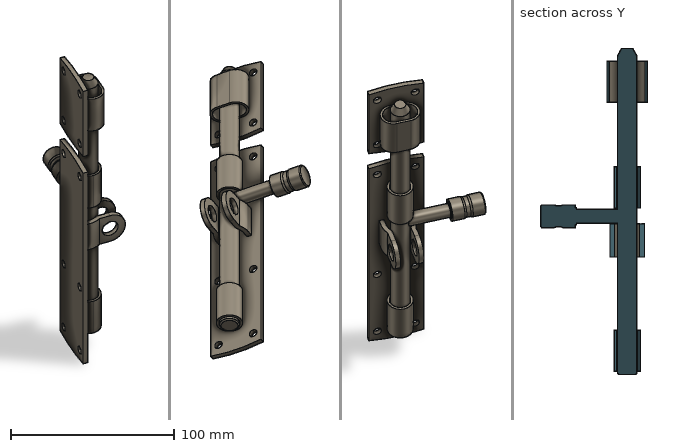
import cadquery as cq
import math


plate_width = 35.1
plate_thickness = 3.0
lower_plate_length = 154.6
plate_gap = 10.0
upper_plate_length = 55.0
end_crown = 1.5
screw_hole_diameter = 5.0
screw_hole_spacing = 24.2
upper_hole_margin = 8.0
lower_hole_margin = 8.3
middle_hole_height = 58.5

bore_diameter = 13.0
tube_diameter = 16.0
tube_length = 25.3
keeper_stretch = 8.8
foot_width = 6.2
foot_length = 8.8
foot_corner_radius = 1.0
lower_guide_bottom = 15.2
upper_guide_bottom = 115.0
keeper_bottom = 179.7

staple_length = 20.5
lug_hole_diameter = 10.5
lug_hole_offset = 10.8
lug_thickness = 3.0
lug_half_width = 9.0
base_half_width = 11.0
bend_radius = 14.3
staple_height = 95.3

bolt_diameter = 12.0
bolt_bottom = 13.2
bolt_top = 212.6
nose_length = 4.6
nose_diameter = 7.0
bolt_chamfer = 0.9

handle_height = 110.0
stem_diameter = 8.8
knob_diameter = 14.0
knob_length = 21.3
collar_length = 0.7
collar_diameter = 10.5
knob_end = 53.0
knob_chamfer = 0.7
groove_offset = 11.0
groove_width = 5.3
groove_floor_width = 2.6
groove_diameter = 13.0

plate_face = -tube_diameter / 2
lug_radius = staple_length / 2
upper_plate_bottom = lower_plate_length + plate_gap


def plate(bottom, length, hole_heights):
    """Plate with arched ends and a pair of screw holes at each of the given heights."""
    half_width = plate_width / 2
    top = bottom + length
    body = (
        cq.Workplane("XZ", origin=(0, plate_face, 0))
        .moveTo(-half_width, bottom + end_crown)
        .threePointArc((0, bottom), (half_width, bottom + end_crown))
        .lineTo(half_width, top - end_crown)
        .threePointArc((0, top), (-half_width, top - end_crown))
        .close()
        .extrude(plate_thickness)
    )
    hole_centers = [
        (side * screw_hole_spacing / 2, height) for height in hole_heights for side in (-1, 1)
    ]
    holes = (
        cq.Workplane("XZ", origin=(0, plate_face, 0))
        .pushPoints(hole_centers)
        .circle(screw_hole_diameter / 2)
        .extrude(plate_thickness)
    )
    return body.cut(holes)


def guide(bottom):
    """Round guide tube with a foot that joins it to the plate."""
    center = cq.Workplane("XZ", origin=(0, 0, bottom + tube_length / 2))
    foot = (
        center.rect(foot_width, foot_length)
        .extrude(-plate_face)
        .edges("|Y")
        .fillet(foot_corner_radius)
    )
    section = cq.Workplane("XY", origin=(0, 0, bottom))
    outside = section.circle(tube_diameter / 2).extrude(tube_length)
    bore = section.circle(bore_diameter / 2).extrude(tube_length)
    return outside.union(foot).cut(bore)


def keeper():
    """Oval tube whose flat side rests on the plate."""
    section = cq.Workplane("XY", origin=(0, 0, keeper_bottom))
    outside = section.slot2D(tube_diameter + keeper_stretch, tube_diameter).extrude(tube_length)
    bore = section.slot2D(bore_diameter + keeper_stretch, bore_diameter).extrude(tube_length)
    return outside.cut(bore)


def middle_of_bend(radius, rise, center_x, center_y):
    """Middle of an arc that leaves the +X side of its circle and rises along Y."""
    half_angle = math.asin(rise / radius) / 2
    return center_x + radius * math.cos(half_angle), center_y + radius * math.sin(half_angle)


def staple():
    """Two lugs that bend outward towards the plate, with a padlock hole through both."""
    bend_depth = base_half_width - lug_half_width
    inner_radius = bend_radius - lug_thickness
    outer_rise = math.sqrt(bend_radius**2 - (bend_radius - bend_depth) ** 2)
    inner_rise = math.sqrt(inner_radius**2 - (inner_radius - bend_depth) ** 2)
    center_x = base_half_width - bend_radius
    center_y = -outer_rise / 2
    outer_middle = middle_of_bend(bend_radius, outer_rise, center_x, center_y)
    inner_middle = middle_of_bend(inner_radius, inner_rise, center_x, center_y)
    lug_inside = lug_half_width - lug_thickness
    base_inside = base_half_width - lug_thickness
    tip = lug_hole_offset + lug_radius
    bottom = staple_height - lug_radius
    top = staple_height + lug_radius

    sheet = (
        cq.Workplane("XY", origin=(0, 0, bottom))
        .moveTo(base_half_width, plate_face)
        .lineTo(base_half_width, center_y)
        .threePointArc(outer_middle, (lug_half_width, center_y + outer_rise))
        .lineTo(lug_half_width, tip)
        .lineTo(lug_inside, tip)
        .lineTo(lug_inside, center_y + inner_rise)
        .threePointArc(inner_middle, (base_inside, center_y))
        .lineTo(base_inside, plate_face)
        .close()
        .extrude(staple_length)
    )
    side_outline = (
        cq.Workplane("YZ")
        .moveTo(plate_face, bottom)
        .lineTo(lug_hole_offset, bottom)
        .threePointArc((tip, staple_height), (lug_hole_offset, top))
        .lineTo(plate_face, top)
        .close()
        .extrude(base_half_width)
    )
    hole = (
        cq.Workplane("YZ")
        .center(lug_hole_offset, staple_height)
        .circle(lug_hole_diameter / 2)
        .extrude(base_half_width)
    )
    lug = sheet.intersect(side_outline).cut(hole)
    return lug, lug.mirror("YZ")


def make_base():
    """Lower plate with the two bolt guides and the staple."""
    hole_heights = [lower_hole_margin, middle_hole_height, lower_plate_length - lower_hole_margin]
    base = plate(0, lower_plate_length, hole_heights)
    for bottom in (lower_guide_bottom, upper_guide_bottom):
        base = base.union(guide(bottom))
    for lug in staple():
        base = base.union(lug)
    return base


def make_strike():
    """Upper plate with the oval keeper that receives the bolt."""
    top = upper_plate_bottom + upper_plate_length
    hole_heights = [upper_plate_bottom + upper_hole_margin, top - upper_hole_margin]
    strike = plate(upper_plate_bottom, upper_plate_length, hole_heights)
    return strike.union(keeper())


def bolt_rod():
    """Round rod with a chamfered bottom and a conical nose."""
    radius = bolt_diameter / 2
    return (
        cq.Workplane("XZ")
        .moveTo(0, bolt_bottom)
        .lineTo(radius - bolt_chamfer, bolt_bottom)
        .lineTo(radius, bolt_bottom + bolt_chamfer)
        .lineTo(radius, bolt_top - nose_length)
        .lineTo(nose_diameter / 2, bolt_top)
        .lineTo(0, bolt_top)
        .close()
        .revolve(360, (0, 0, 0), (0, 1, 0))
    )


def handle():
    """Stem from the bolt axis and a knob with a chamfered end, a grip groove and a collar."""
    knob = (
        cq.Workplane("YZ", origin=(-knob_end, 0, handle_height))
        .circle(knob_diameter / 2)
        .extrude(knob_length)
        .faces("<X")
        .chamfer(knob_chamfer)
    )
    groove_center = groove_offset - knob_end
    groove = (
        cq.Workplane("XY", origin=(groove_center, 0, handle_height))
        .moveTo(-groove_width / 2, knob_diameter / 2)
        .lineTo(-groove_floor_width / 2, groove_diameter / 2)
        .lineTo(groove_floor_width / 2, groove_diameter / 2)
        .lineTo(groove_width / 2, knob_diameter / 2)
        .close()
        .revolve(360, (0, 0, 0), (1, 0, 0))
    )
    collar = (
        cq.Workplane("YZ", origin=(knob_length - knob_end, 0, handle_height))
        .circle(collar_diameter / 2)
        .extrude(collar_length)
    )
    stem_length = knob_end - knob_length
    stem = (
        cq.Workplane("YZ", origin=(-stem_length, 0, handle_height))
        .circle(stem_diameter / 2)
        .extrude(stem_length)
    )
    return knob.cut(groove).union(collar).union(stem)


base = make_base()
strike = make_strike()
bolt = bolt_rod().union(handle())

result = cq.Compound.makeCompound([*base.solids().vals(), *strike.solids().vals(), *bolt.solids().vals()])